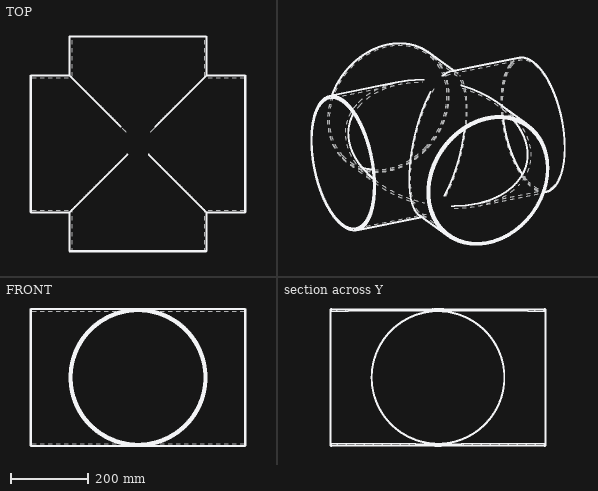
import cadquery as cq

length = 558.0
outer_diameter = 356.0
wall = 6.0
land = 4.5
bevel_length = 1.5

outer_radius = outer_diameter / 2
bore_radius = outer_radius - wall
end_radius = bore_radius + land


def pipe_body():
    """Solid pipe along X, centred on the origin, with both ends bevelled."""
    half_length = length / 2
    shoulder = half_length - bevel_length
    profile = (
        cq.Workplane("XY")
        .moveTo(-half_length, 0)
        .lineTo(-half_length, end_radius)
        .lineTo(-shoulder, outer_radius)
        .lineTo(shoulder, outer_radius)
        .lineTo(half_length, end_radius)
        .lineTo(half_length, 0)
        .close()
    )
    return profile.revolve(360, (0, 0, 0), (1, 0, 0))


def bore():
    """Full-length bore cylinder along X, centred on the origin."""
    return cq.Workplane("YZ").circle(bore_radius).extrude(length / 2, both=True)


def crossed(pipe):
    """Join a shape lying along X with its copy turned to lie along Y."""
    return pipe.union(pipe.rotate((0, 0, 0), (0, 0, 1), 90))


result = crossed(pipe_body()).cut(crossed(bore()))